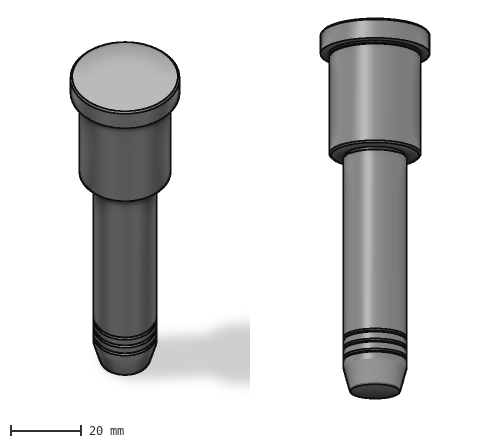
import cadquery as cq

total_length = 106.0
head_height = 5.9
body_bottom = 70.0
taper_height = 7.0

head_diameter = 31.0
body_diameter = 26.0
shank_diameter = 18.0
relief_diameter = 17.0
tip_diameter = 14.5

head_chamfer = 0.5
body_chamfer = 0.5
tip_chamfer_height = 0.5
tip_chamfer_width = 0.26

relief_height = 1.0
groove_width = 1.0
groove_depth = 0.4
groove_count = 3
groove_pitch = 3.0
first_groove_bottom = 9.0

head_bottom = total_length - head_height
shank_top = body_bottom - relief_height


def cylinder(diameter, bottom, top):
    """Round section on the Z axis."""
    return cq.Workplane("XY").workplane(offset=bottom).circle(diameter / 2).extrude(top - bottom)


def cone(bottom_diameter, top_diameter, bottom, top):
    """Tapered round section on the Z axis."""
    return (
        cq.Workplane("XZ")
        .moveTo(0, bottom)
        .lineTo(bottom_diameter / 2, bottom)
        .lineTo(top_diameter / 2, top)
        .lineTo(0, top)
        .close()
        .revolve(360, (0, 0, 0), (0, 1, 0))
    )


def cut_v_groove(solid, diameter, bottom):
    """Cut a V groove, deepest at mid-width, around a section of the given diameter."""
    radius = diameter / 2
    ring = (
        cq.Workplane("XZ")
        .moveTo(radius, bottom)
        .lineTo(radius - groove_depth, bottom + groove_width / 2)
        .lineTo(radius, bottom + groove_width)
        .close()
        .revolve(360, (0, 0, 0), (0, 1, 0))
    )
    return solid.cut(ring)


head = cylinder(head_diameter, head_bottom, total_length).faces(">Z").chamfer(head_chamfer)

body = cylinder(body_diameter, body_bottom, head_bottom).faces("<Z").chamfer(body_chamfer)
body = cut_v_groove(body, body_diameter, head_bottom - groove_width)

relief = cylinder(relief_diameter, shank_top, body_bottom)

shank = cylinder(shank_diameter, taper_height, shank_top)
for index in range(groove_count):
    shank = cut_v_groove(shank, shank_diameter, first_groove_bottom + index * groove_pitch)

lead_in = cone(tip_diameter, shank_diameter, tip_chamfer_height, taper_height)
tip = cone(tip_diameter - 2 * tip_chamfer_width, tip_diameter, 0, tip_chamfer_height)

result = head.union(body).union(relief).union(shank).union(lead_in).union(tip)